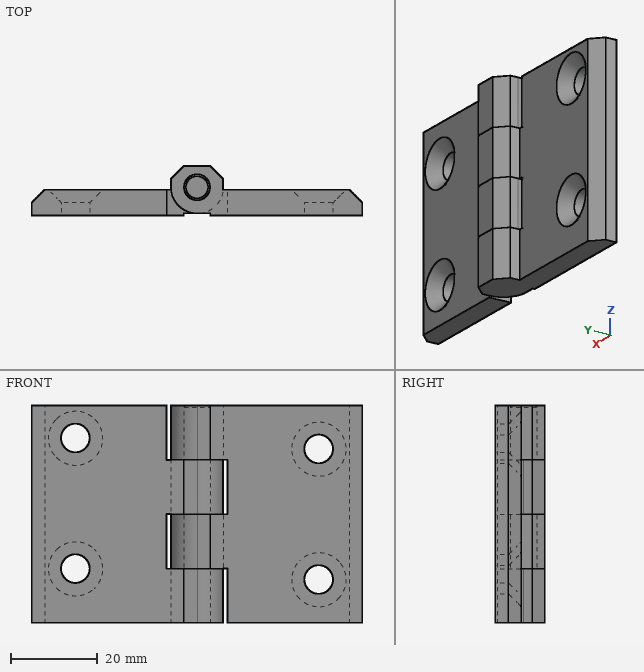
import cadquery as cq
import math

width = 76.0
height = 50.0
half_width = width / 2
half_height = height / 2

plate_thickness = 6.0
edge_chamfer = 3.0
notch_reach = 7.0

knuckle_count = 4
knuckle_height = height / knuckle_count
knuckle_radius = 6.0
knuckle_chamfer = 3.0
front_step = 0.5
total_depth = 11.5

pin_diameter = 6.0
pin_chamfer = 0.45

hole_diameter = 6.5
sink_diameter = 12.5
hole_reach = 28.0
hole_spacing = 30.0
left_hole_shift = 2.5

knuckle_front = -knuckle_radius
plate_front = knuckle_front - front_step
plate_back = plate_front + plate_thickness
knuckle_back = plate_front + total_depth


def make_plate():
    """Right-hand plate without its knuckles, back outer edge chamfered."""
    return (
        cq.Workplane("XY")
        .workplane(offset=-half_height)
        .moveTo(notch_reach, plate_front)
        .lineTo(half_width, plate_front)
        .lineTo(half_width, plate_back - edge_chamfer)
        .lineTo(half_width - edge_chamfer, plate_back)
        .lineTo(notch_reach, plate_back)
        .close()
        .extrude(height)
    )


def make_knuckle(bottom):
    """Right-hand knuckle: rounded front corner, chamfered back, web out to the plate."""
    arc_middle = -knuckle_radius * math.sqrt(0.5)
    shoulder = knuckle_radius - knuckle_chamfer
    return (
        cq.Workplane("XY")
        .workplane(offset=bottom)
        .moveTo(-knuckle_radius, 0)
        .threePointArc((arc_middle, arc_middle), (0, knuckle_front))
        .lineTo(shoulder, knuckle_front)
        .lineTo(shoulder, plate_front)
        .lineTo(notch_reach, plate_front)
        .lineTo(notch_reach, plate_back)
        .lineTo(knuckle_radius, plate_back)
        .lineTo(knuckle_radius, knuckle_back - knuckle_chamfer)
        .lineTo(shoulder, knuckle_back)
        .lineTo(-shoulder, knuckle_back)
        .lineTo(-knuckle_radius, knuckle_back - knuckle_chamfer)
        .close()
        .extrude(knuckle_height)
    )


def make_screw_hole():
    """Cutter for one through hole on the Y axis, countersunk from the plate back."""
    hole_radius = hole_diameter / 2
    sink_radius = sink_diameter / 2
    sink_depth = sink_radius - hole_radius
    return (
        cq.Workplane("XY")
        .moveTo(0, plate_front)
        .lineTo(hole_radius, plate_front)
        .lineTo(hole_radius, plate_back - sink_depth)
        .lineTo(sink_radius, plate_back)
        .lineTo(0, plate_back)
        .close()
        .revolve(360, (0, 0, 0), (0, 1, 0))
    )


def make_pin_rod():
    """Full-height cylinder on the hinge axis."""
    return cq.Workplane("XY").workplane(offset=-half_height).circle(pin_diameter / 2).extrude(height)


def make_leaf(first_knuckle, hole_shift):
    """Right-hand leaf with every second knuckle, counted from the bottom."""
    leaf = make_plate()
    for index in range(first_knuckle, knuckle_count, 2):
        leaf = leaf.union(make_knuckle(index * knuckle_height - half_height))
    for side in (-1, 1):
        hole_level = hole_shift + side * hole_spacing / 2
        leaf = leaf.cut(make_screw_hole().translate((hole_reach, 0, hole_level)))
    return leaf


right_leaf = make_leaf(1, 0).cut(make_pin_rod())

pin = make_pin_rod().faces(">Z").chamfer(pin_chamfer)
left_leaf = make_leaf(0, left_hole_shift).mirror("YZ").union(pin)

result = cq.Compound.makeCompound([left_leaf.val(), right_leaf.val()])